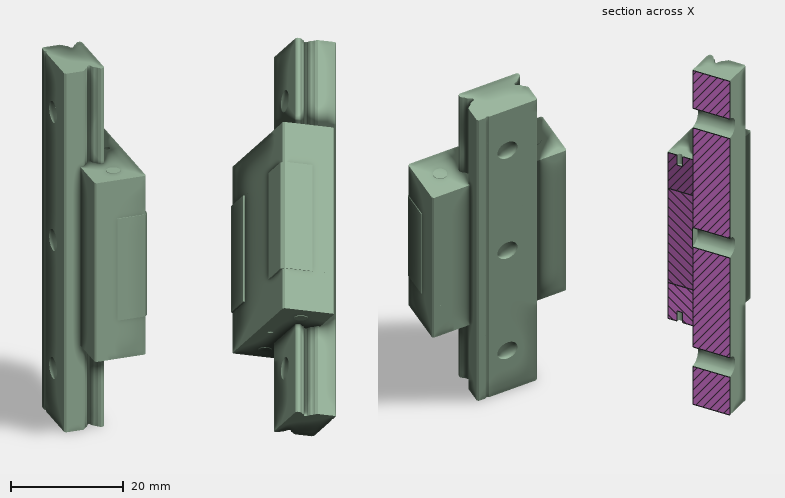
import cadquery as cq


rail_length = 70.0
rail_width = 12.0
rail_height = 7.55
rail_edge_chamfer = 0.3

race_height = 5.2
race_mouth_half_width = 1.7
race_lip_depth = 0.35
race_lip_half_width = 1.25
race_wall_depth = 1.0
race_wall_half_width = 0.6
race_wall_bulge = 0.085
relief_depth = 1.55
relief_half_width = 0.35
race_depth = 1.9

groove_x = -4.025
groove_width = 0.7
groove_depth = 0.2

hole_count = 3
hole_pitch = 25.0
hole_diameter = 4.0

carriage_middle_z = -1.1
carriage_base = 3.0
body_width = 26.75
base_edge_chamfer = 0.3

block_length = 19.9
block_width = 27.0
block_top = 13.0
block_edge_chamfer = 0.6
shoulder_height = 7.2
channel_width = 13.15

cap_length = 7.5
cap_top = 12.7
cap_edge_chamfer = 0.3

screw_spacing = 18.75
screw_height = 7.9
screw_head_diameter = 2.5
screw_head_rise = 0.105
port_height = 10.2
port_diameter = 1.05
port_depth = 2.1


def race_cutter(length):
    """Left-hand ball race with a relief groove at its bottom, extruded upward from Z = 0."""
    side = -rail_width / 2
    wall_x = side + race_wall_depth
    return (
        cq.Workplane("XY", origin=(0, race_height, 0))
        .moveTo(side, -race_mouth_half_width)
        .lineTo(side + race_lip_depth, -race_lip_half_width)
        .sagittaArc((wall_x, -race_wall_half_width), -race_wall_bulge)
        .lineTo(side + relief_depth, -relief_half_width)
        .threePointArc((side + race_depth, 0), (side + relief_depth, relief_half_width))
        .lineTo(wall_x, race_wall_half_width)
        .sagittaArc((side + race_lip_depth, race_lip_half_width), -race_wall_bulge)
        .lineTo(side, race_mouth_half_width)
        .close()
        .extrude(length)
    )


def rail_bar(length):
    """Plain rail bar with both ball races, extruded upward from Z = 0."""
    bar = (
        cq.Workplane("XY", origin=(0, rail_height / 2, 0))
        .rect(rail_width, rail_height)
        .extrude(length)
        .edges("|Z")
        .chamfer(rail_edge_chamfer)
    )
    race = race_cutter(length)
    return bar.cut(race).cut(race.mirror("YZ"))


def make_rail():
    """Rail with a reference groove in its base and a row of mounting holes."""
    bar = rail_bar(rail_length).translate((0, 0, -rail_length / 2))
    groove = (
        cq.Workplane("XY", origin=(groove_x, 0, 0))
        .moveTo(-groove_width / 2, 0)
        .threePointArc((0, groove_depth), (groove_width / 2, 0))
        .close()
        .extrude(rail_length / 2, both=True)
    )
    return (
        bar.cut(groove)
        .faces(">Y")
        .workplane(origin=(0, rail_height, 0))
        .rarray(0.7, hole_pitch, 1, hole_count)
        .hole(hole_diameter)
    )


def chamfered_bar(width, base, top, length, top_chamfer):
    """Bar between two heights with its upper long edges chamfered, extruded upward from Z = 0."""
    return (
        cq.Workplane("XY", origin=(0, (base + top) / 2, 0))
        .rect(width, top - base)
        .extrude(length)
        .edges("|Z and >Y")
        .chamfer(top_chamfer)
    )


def carriage_bar(length):
    """Bar of the caps' outline, without the rail opening, extruded upward from Z = 0."""
    bar = chamfered_bar(body_width, carriage_base, cap_top, length, cap_edge_chamfer)
    return bar.edges("|Z and <Y").chamfer(base_edge_chamfer)


def make_block():
    """Block with wider upper sides and two mounting pads, wrapped around the rail."""
    upper = chamfered_bar(block_width, shoulder_height, block_top, block_length, block_edge_chamfer)
    channel = (
        cq.Workplane("XY", origin=(0, block_top, 0))
        .rect(channel_width, 2 * (block_top - cap_top))
        .extrude(block_length)
    )
    block = carriage_bar(block_length).union(upper).cut(channel).cut(rail_bar(block_length))
    return block.translate((0, 0, carriage_middle_z - block_length / 2))


def make_cap(mirrored):
    """End cap wrapped around the rail, above the block or, mirrored, below it."""
    heads = (
        cq.Workplane("XY", origin=(0, screw_height, cap_length))
        .rarray(screw_spacing, 0.7, 2, 1)
        .circle(screw_head_diameter / 2)
        .extrude(screw_head_rise)
    )
    port = (
        cq.Workplane("XY", origin=(0, port_height, cap_length))
        .circle(port_diameter / 2)
        .extrude(-port_depth)
    )
    cap = carriage_bar(cap_length).cut(rail_bar(cap_length)).union(heads).cut(port)
    cap = cap.translate((0, 0, block_length / 2))
    if mirrored:
        cap = cap.mirror("XY")
    return cap.translate((0, 0, carriage_middle_z))


rail = make_rail()
block = make_block()
caps = [make_cap(mirrored) for mirrored in (False, True)]

result = cq.Compound.makeCompound([rail.val(), block.val(), *[cap.val() for cap in caps]])